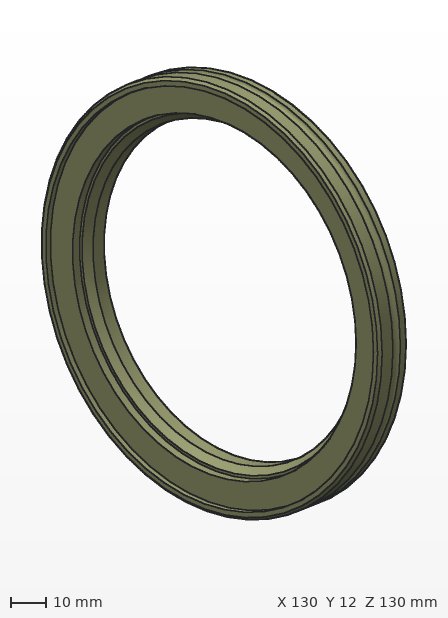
import cadquery as cq

outer_radius = 65.0
width = 12.0
edge_chamfer = 0.9

recess_radius = 62.5
recess_depth = 2.0

counterbore_radius = 54.1
counterbore_depth = 5.0
cone_front_radius = 53.2
bore_radius = 51.1
cone_end = 7.3

groove_center = 7.0
groove_width = 3.1
groove_depth = 1.4


def make_ring():
    """Revolve the cross-section, given as (radius, Y) points, about the Y axis."""
    groove_front = groove_center - groove_width / 2
    groove_back = groove_center + groove_width / 2
    chamfer_radius = outer_radius - edge_chamfer
    groove_bottom = (outer_radius - groove_depth, groove_center)
    profile = (
        cq.Workplane("XY")
        .moveTo(recess_radius, 0)
        .lineTo(chamfer_radius, 0)
        .lineTo(outer_radius, edge_chamfer)
        .lineTo(outer_radius, groove_front)
        .threePointArc(groove_bottom, (outer_radius, groove_back))
        .lineTo(outer_radius, width - edge_chamfer)
        .lineTo(chamfer_radius, width)
        .lineTo(bore_radius, width)
        .lineTo(bore_radius, cone_end)
        .lineTo(cone_front_radius, counterbore_depth)
        .lineTo(counterbore_radius, counterbore_depth)
        .lineTo(counterbore_radius, recess_depth)
        .lineTo(recess_radius, recess_depth)
        .close()
    )
    return profile.revolve(360, (0, 0, 0), (0, 1, 0))


result = make_ring()